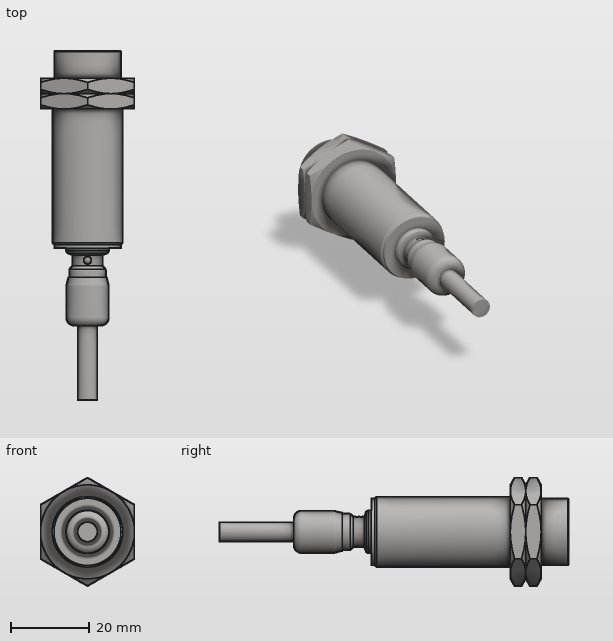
import cadquery as cq
import math

TOTAL_LENGTH = 89.2
SENSING_FACE_Y = TOTAL_LENGTH / 2

BODY_RADIUS = 9.0
END_RADIUS = 8.6
FACE_CHAMFER = 0.3
BODY_END = 49.1
STEP_TAPER_LENGTH = BODY_RADIUS - END_RADIUS
HOUSING_END = 50.4

NUT_START = 7.05
NUT_THICKNESS = 3.9
NUT_COUNT = 2
NUT_SIDES = 6
NUT_ACROSS_FLATS = 24.0
NUT_CHAMFER_ANGLE = 30.0

FLANGE_RADIUS = 5.5
FLANGE_RIM_END = 51.1
FLANGE_CHAMFER_WIDTH = 0.4
FLANGE_CHAMFER_LENGTH = 0.6
NECK_RADIUS = 3.9
NECK_START = 52.2
NECK_END = 54.95

COLLAR_RADIUS = 4.7
COLLAR_START = 56.2
COLLAR_EDGE_TAPER = 0.1
COLLAR_EDGE_LENGTH = 0.45
COLLAR_END = 57.8
GRIP_RADIUS = 5.4
SHOULDER_RADIUS = 4.9
GRIP_START = 59.9
GRIP_END = 70.2
GRIP_ROUND = 2.05
CABLE_RADIUS = 2.5

WINDOW_RADIUS = 1.0
WINDOW_FROM_FACE = 53.5
WINDOW_DEPTH = 0.7


def y_at(distance):
    """Y coordinate of a point at the given distance behind the sensing face."""
    return SENSING_FACE_Y - distance


def turned_body():
    """Housing, plug and cable as one half profile revolved about the Y axis."""
    diagonal = math.sqrt(0.5)
    grip_round_center = (GRIP_RADIUS - GRIP_ROUND, y_at(GRIP_END - GRIP_ROUND))
    grip_round_middle = (
        grip_round_center[0] + GRIP_ROUND * diagonal,
        grip_round_center[1] - GRIP_ROUND * diagonal,
    )
    profile = (
        cq.Workplane("XY")
        .moveTo(0, y_at(0))
        .lineTo(END_RADIUS - FACE_CHAMFER, y_at(0))
        .lineTo(END_RADIUS, y_at(FACE_CHAMFER))
        .lineTo(END_RADIUS, y_at(NUT_START))
        .lineTo(BODY_RADIUS, y_at(NUT_START))
        .lineTo(BODY_RADIUS, y_at(BODY_END))
        .lineTo(END_RADIUS, y_at(BODY_END + STEP_TAPER_LENGTH))
        .lineTo(END_RADIUS, y_at(HOUSING_END))
        .lineTo(FLANGE_RADIUS, y_at(HOUSING_END))
        .lineTo(FLANGE_RADIUS, y_at(FLANGE_RIM_END))
        .lineTo(FLANGE_RADIUS - FLANGE_CHAMFER_WIDTH, y_at(FLANGE_RIM_END + FLANGE_CHAMFER_LENGTH))
        .lineTo(NECK_RADIUS, y_at(NECK_START))
        .lineTo(NECK_RADIUS, y_at(NECK_END))
        .lineTo(COLLAR_RADIUS - COLLAR_EDGE_TAPER, y_at(COLLAR_START - COLLAR_EDGE_LENGTH))
        .lineTo(COLLAR_RADIUS, y_at(COLLAR_START))
        .lineTo(COLLAR_RADIUS, y_at(COLLAR_END))
        .lineTo(SHOULDER_RADIUS, y_at(COLLAR_END))
        .lineTo(GRIP_RADIUS, y_at(GRIP_START))
        .lineTo(GRIP_RADIUS, grip_round_center[1])
        .threePointArc(
            grip_round_middle,
            (grip_round_center[0], y_at(GRIP_END)),
        )
        .lineTo(CABLE_RADIUS, y_at(GRIP_END))
        .lineTo(CABLE_RADIUS, y_at(TOTAL_LENGTH))
        .lineTo(0, y_at(TOTAL_LENGTH))
        .close()
    )
    return profile.revolve(360, (0, 0), (0, 1))


def hex_nut(start):
    """Hexagonal nut with flats facing X and both faces chamfered to the flats' inscribed circle."""
    flat_radius = NUT_ACROSS_FLATS / 2
    corner_radius = flat_radius / math.cos(math.pi / NUT_SIDES)
    chamfer_length = (corner_radius - flat_radius) * math.tan(math.radians(NUT_CHAMFER_ANGLE))
    end = start + NUT_THICKNESS
    prism = (
        cq.Workplane("XZ", origin=(0, y_at(start), 0))
        .transformed(rotate=(0, 0, 90))
        .polygon(NUT_SIDES, 2 * corner_radius)
        .extrude(NUT_THICKNESS)
    )
    chamfer_envelope = (
        cq.Workplane("XY")
        .moveTo(0, y_at(start))
        .lineTo(flat_radius, y_at(start))
        .lineTo(corner_radius, y_at(start + chamfer_length))
        .lineTo(corner_radius, y_at(end - chamfer_length))
        .lineTo(flat_radius, y_at(end))
        .lineTo(0, y_at(end))
        .close()
        .revolve(360, (0, 0), (0, 1))
    )
    return prism.intersect(chamfer_envelope)


def indicator_window():
    """Cutter for the shallow round window, reaching down from above the neck."""
    return (
        cq.Workplane("XY", origin=(0, y_at(WINDOW_FROM_FACE), NECK_RADIUS - WINDOW_DEPTH))
        .circle(WINDOW_RADIUS)
        .extrude(2 * WINDOW_DEPTH)
    )


def indicator_lens():
    """Spherical lens filling the window bore, its crown level with the neck surface."""
    return cq.Workplane("XY", origin=(0, y_at(WINDOW_FROM_FACE), NECK_RADIUS - WINDOW_RADIUS)).sphere(
        WINDOW_RADIUS
    )


result = turned_body()
for nut_index in range(NUT_COUNT):
    result = result.union(hex_nut(NUT_START + nut_index * NUT_THICKNESS))
result = result.cut(indicator_window()).union(indicator_lens())